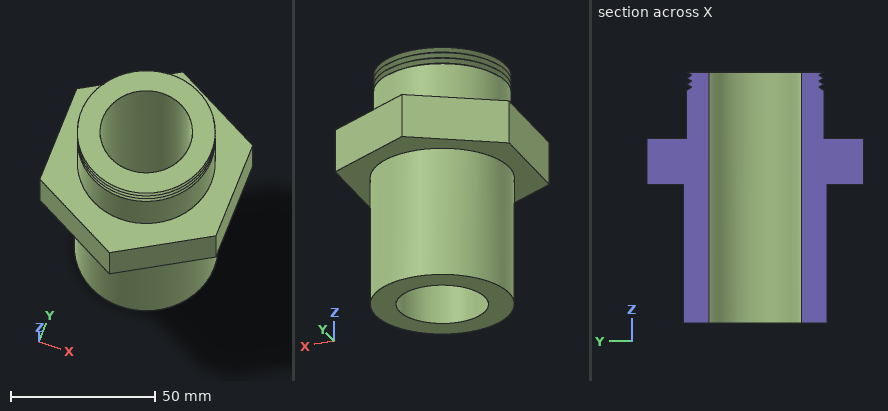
import cadquery as cq
import math

total_height = 87.0
pipe_diameter = 50.0
pipe_length = 48.0
hex_across_flats = 65.0
hex_height = 16.0
neck_diameter = 47.85
bore_diameter = 32.0

groove_count = 3
groove_pitch = 2.1
groove_depth = 1.7

neck_radius = neck_diameter / 2
neck_length = total_height - pipe_length - hex_height
hex_across_corners = hex_across_flats / math.cos(math.pi / 6)


def make_hexagon():
    """Hexagonal collar with its corners pointing along Y."""
    return (
        cq.Workplane("XY")
        .workplane(offset=pipe_length)
        .transformed(rotate=(0, 0, 90))
        .polygon(6, hex_across_corners)
        .extrude(hex_height)
    )


def make_neck():
    """Upper neck, its rim cut by adjoining V-grooves that leave sharp crests."""
    base = pipe_length + hex_height
    profile = cq.Workplane("XZ").moveTo(0, base).lineTo(neck_radius, base)
    profile = profile.lineTo(neck_radius, base + neck_length - groove_count * groove_pitch)
    for index in range(groove_count):
        crest_height = total_height - (groove_count - 1 - index) * groove_pitch
        profile = profile.lineTo(neck_radius - groove_depth, crest_height - groove_pitch / 2)
        profile = profile.lineTo(neck_radius, crest_height)
    return profile.lineTo(0, total_height).close().revolve(360, (0, 0, 0), (0, 1, 0))


pipe = cq.Workplane("XY").circle(pipe_diameter / 2).extrude(pipe_length)
bore = cq.Workplane("XY").circle(bore_diameter / 2).extrude(total_height)

result = pipe.union(make_hexagon()).union(make_neck()).cut(bore)